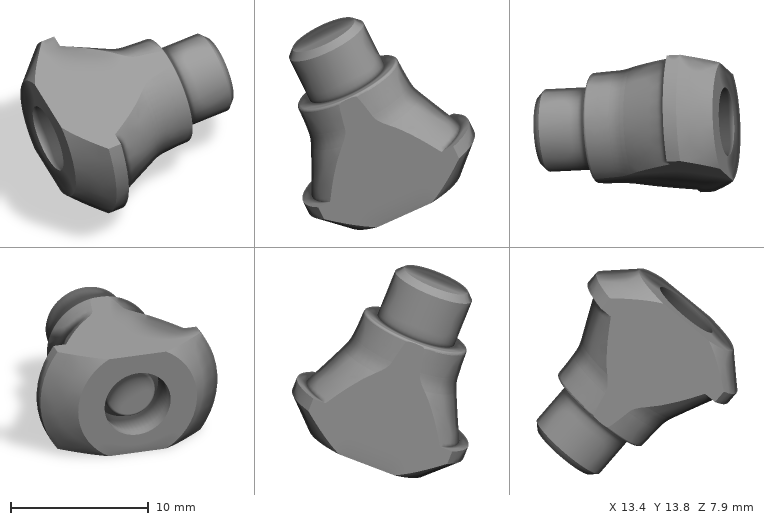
import cadquery as cq
import math

front_radius = 4.5
flange_diameter = 13.4
flange_radius = flange_diameter / 2
flange_front_y = flange_radius - front_radius
flange_back_y = 3.2
skirt_radius = 5.96
skirt_end_y = 6.67
skirt_end_radius = 4.37
neck_start_y = 7.82
neck_start_radius = 4.1
neck_end_radius = 4.0
housing_length = 9.8
neck_rounding = 0.2
flat_spacing = 7.9
bore_radius = 2.5

pin_end_y = 13.8
stud_diameter = 6.0
stud_radius = stud_diameter / 2
stud_chamfer = 0.5
tip_y = 1.8
tip_radius = 1.89
tip_rounding = 0.2
tip_length = 1.0
shoulder_angle = math.radians(30)


def revolve_about_y(profile):
    return profile.close().revolve(360, (0, 0, 0), (0, 1, 0))


def make_housing():
    profile = (
        cq.Workplane("XY")
        .moveTo(bore_radius, 0)
        .lineTo(front_radius, 0)
        .lineTo(flange_radius, flange_front_y)
        .lineTo(flange_radius, flange_back_y)
        .lineTo(skirt_radius, flange_back_y)
        .lineTo(skirt_end_radius, skirt_end_y)
        .tangentArcPoint((neck_start_radius, neck_start_y), relative=False)
        .lineTo(neck_end_radius, housing_length)
        .lineTo(bore_radius, housing_length)
    )
    body = revolve_about_y(profile)
    body = body.faces(">Y").edges(cq.selectors.RadiusNthSelector(-1)).fillet(neck_rounding)
    flats = cq.Workplane("XY").box(
        flange_diameter, housing_length, flat_spacing, centered=(True, False, True)
    )
    return body.intersect(flats)


def make_pin():
    tip_base_y = tip_y + tip_length
    shoulder_length = (bore_radius - tip_radius) * math.tan(shoulder_angle)
    profile = (
        cq.Workplane("XY")
        .moveTo(0, tip_y)
        .lineTo(tip_radius - tip_rounding, tip_y)
        .tangentArcPoint((tip_radius, tip_y + tip_rounding), relative=False)
        .lineTo(tip_radius, tip_base_y)
        .lineTo(bore_radius, tip_base_y + shoulder_length)
        .lineTo(bore_radius, housing_length)
        .lineTo(stud_radius, housing_length)
        .lineTo(stud_radius, pin_end_y - stud_chamfer)
        .lineTo(stud_radius - stud_chamfer, pin_end_y)
        .lineTo(0, pin_end_y)
    )
    return revolve_about_y(profile)


housing = make_housing()
pin = make_pin()

result = cq.Compound.makeCompound([housing.val(), pin.val()])